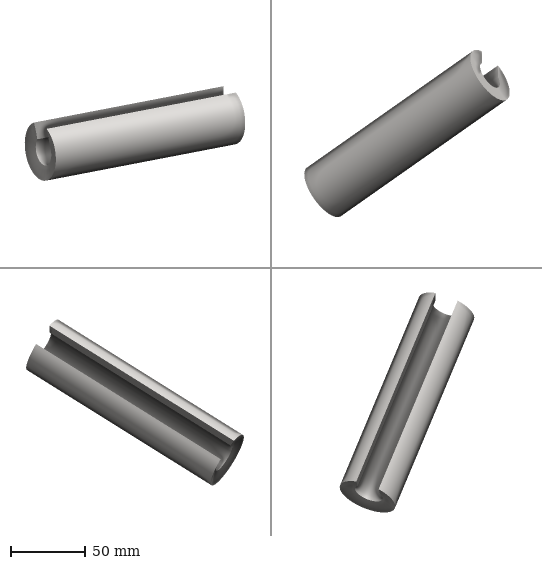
import cadquery as cq

length = 150
outer_diameter = 40.0
bore_diameter = outer_diameter / 2
slot_width = 16.0
dish_depth = 2.5

outer_radius = outer_diameter / 2
bore_radius = bore_diameter / 2
front_y = -length / 2
back_y = length / 2


def dished_tube():
    """Revolve the wall section around the Y axis."""
    wall_section = [
        (front_y, -outer_radius),
        (back_y, -outer_radius),
        (back_y, -bore_radius),
        (front_y + dish_depth, -bore_radius),
    ]
    return cq.Workplane("YZ").polyline(wall_section).close().revolve(360, (0, 0), (1, 0))


def slot_cutter():
    """Parallel-sided block from the tube axis up through the top, full length."""
    return cq.Workplane("XY").box(slot_width, length, outer_radius, centered=(True, True, False))


result = dished_tube().cut(slot_cutter())